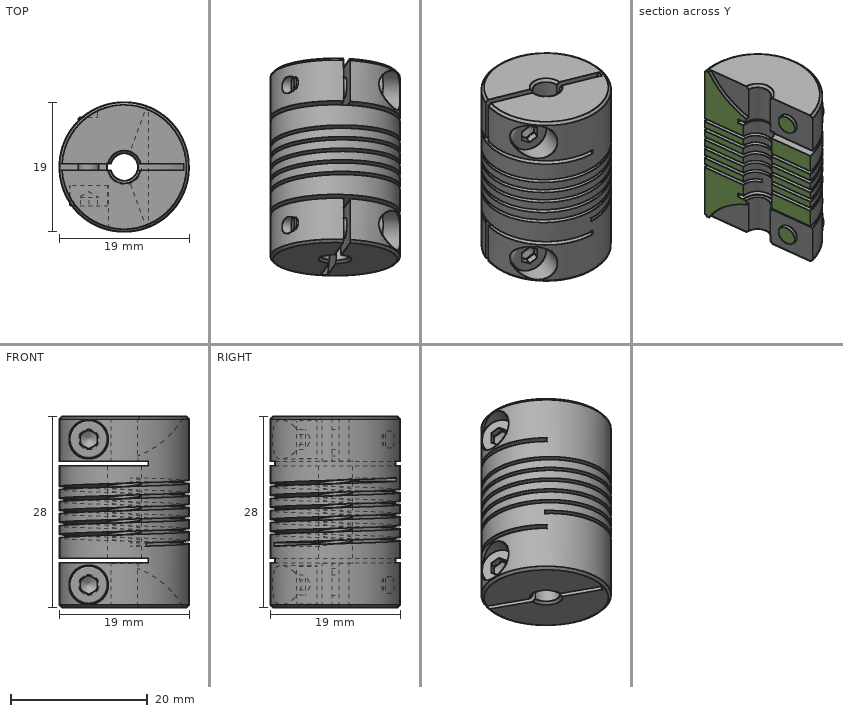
import cadquery as cq
import math

body_diameter = 19.0
body_length = 28.0
edge_chamfer = 0.4
bore_diameter = 4.0
relief_diameter = 5.0
relief_half_length = 7.5

cross_slit_width = 0.6
cross_slit_height = 7.1
cross_slit_end_x = 3.5

clamp_slot_width = 1.0
slot_floor_radius = 13.1
slot_runout_x = 8.7

slit_width = 0.5
slit_pitch = 1.76
slit_full_turns = 5
slit_end_angle = 70.0

screw_x = -5.2
screw_height = 10.65
head_top_y = -5.7
head_diameter = 5.5
head_length = 3.0
head_fillet = 0.28
shank_diameter = 3.0
shank_length = 10.0
tip_chamfer = 0.25
hex_across_flats = 2.5
hex_depth = 1.3
hex_half_angle = 30.0
hex_point_angle = 120.0
head_hole_diameter = 5.75
thread_hole_diameter = 2.5

body_radius = body_diameter / 2
half_length = body_length / 2
head_seat_y = head_top_y + head_length
screw_tip_y = head_seat_y + shank_length
overcut = 1.0


def y_cylinder(diameter, y_start, y_end):
    """Cylinder on the Y axis between two Y positions."""
    disc = cq.Workplane("XZ", origin=(0, y_start, 0)).circle(diameter / 2)
    return disc.extrude(y_start - y_end)


def make_body():
    """Chamfered cylinder with a through bore that is relieved in the middle."""
    bottom = cq.Workplane("XY", origin=(0, 0, -half_length))
    relief_bottom = cq.Workplane("XY", origin=(0, 0, -relief_half_length))
    tube = bottom.circle(body_radius).circle(bore_diameter / 2).extrude(body_length)
    relief = relief_bottom.circle(relief_diameter / 2).extrude(2 * relief_half_length)
    return tube.faces("|Z").chamfer(edge_chamfer).cut(relief)


def make_cross_slit():
    """Slit across the axis of the upper end, open on the -X side."""
    length = cross_slit_end_x + body_radius + overcut
    return (
        cq.Workplane("XY")
        .box(length, body_diameter + 2 * overcut, cross_slit_width)
        .translate((cross_slit_end_x - length / 2, 0, cross_slit_height))
    )


def make_clamp_slot():
    """Slot in the XZ plane of the upper end.

    On the -X side it reaches the cross slit; from the bore toward +X its floor rises in an arc.
    """
    floor_z = cross_slit_height + cross_slit_width / 2
    arc_center_z = floor_z + slot_floor_radius
    runout_angle = math.acos((arc_center_z - half_length) / slot_floor_radius)
    arc_center_x = slot_runout_x - slot_floor_radius * math.sin(runout_angle)

    def floor_point(angle):
        return (
            arc_center_x + slot_floor_radius * math.sin(angle),
            arc_center_z - slot_floor_radius * math.cos(angle),
        )

    bore_axis_angle = math.asin(-arc_center_x / slot_floor_radius)
    middle_angle = (bore_axis_angle + runout_angle) / 2
    open_x = -body_radius - overcut
    return (
        cq.Workplane("XZ")
        .moveTo(open_x, half_length)
        .lineTo(open_x, cross_slit_height)
        .lineTo(0, cross_slit_height)
        .lineTo(*floor_point(bore_axis_angle))
        .threePointArc(floor_point(middle_angle), floor_point(runout_angle))
        .close()
        .extrude(clamp_slot_width / 2, both=True)
    )


def make_screw():
    """Socket head screw on the Y axis, with its head toward -Y."""
    head = y_cylinder(head_diameter, head_top_y, head_seat_y).edges("<Y").fillet(head_fillet)
    shank = y_cylinder(shank_diameter, head_seat_y, screw_tip_y).faces(">Y").chamfer(tip_chamfer)
    corner_radius = hex_across_flats / 2 / math.cos(math.radians(hex_half_angle))
    socket = (
        cq.Workplane("XZ", origin=(0, head_top_y, 0))
        .polygon(6, 2 * corner_radius)
        .extrude(-hex_depth)
        .rotate((0, 0, 0), (0, 1, 0), hex_half_angle)
    )
    point_depth = corner_radius / math.tan(math.radians(hex_point_angle / 2))
    socket_point = cq.Workplane(
        cq.Solid.makeCone(
            corner_radius,
            0,
            point_depth,
            pnt=cq.Vector(0, head_top_y + hex_depth, 0),
            dir=cq.Vector(0, 1, 0),
        )
    )
    return head.union(shank).cut(socket).cut(socket_point)


def make_helical_slit():
    """Rectangular section swept along a helix, from outside the body into the bore."""
    inner_radius = bore_diameter / 2
    outer_radius = body_radius + overcut
    mean_radius = (inner_radius + outer_radius) / 2
    turns = slit_full_turns + 2 * slit_end_angle / 360
    height = slit_pitch * turns
    helix = cq.Wire.makeHelix(slit_pitch, height, mean_radius)
    return (
        cq.Workplane("XZ", origin=(mean_radius, 0, 0))
        .rect(outer_radius - inner_radius, slit_width)
        .sweep(cq.Workplane(helix), isFrenet=True)
        .translate((0, 0, -height / 2))
        .rotate((0, 0, 0), (0, 0, 1), -slit_end_angle)
    )


def mirrored_pair(shape):
    """The shape together with its mirror image at the lower end."""
    return [shape, shape.mirror("XY")]


result = make_body().cut(make_helical_slit())

for cross_slit in mirrored_pair(make_cross_slit()):
    result = result.cut(cross_slit)

for clamp_slot in mirrored_pair(make_clamp_slot()):
    result = result.cut(clamp_slot)

for screw_z in (screw_height, -screw_height):
    position = (screw_x, 0, screw_z)
    head_hole = y_cylinder(head_hole_diameter, -body_radius - overcut, head_seat_y)
    thread_hole = y_cylinder(thread_hole_diameter, head_seat_y, body_radius + overcut)
    result = result.cut(head_hole.translate(position)).cut(thread_hole.translate(position))
    result = result.union(make_screw().translate(position))